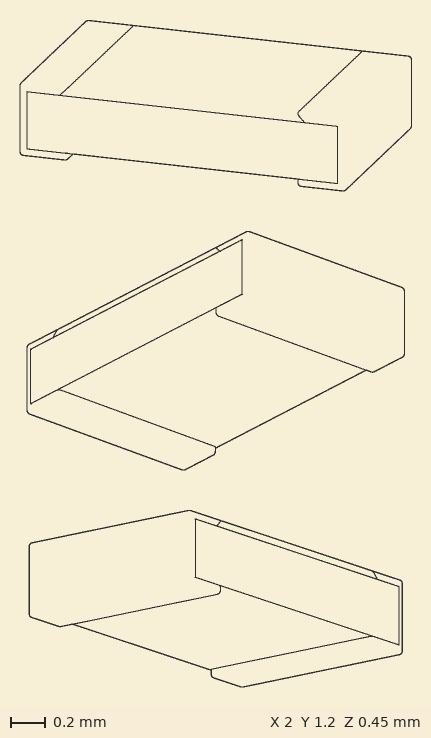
import cadquery as cq

LENGTH = 2.0
WIDTH = 1.2
HEIGHT = 0.45

PLATING = 0.05
EDGE_RADIUS = PLATING / 2
TERMINAL_LENGTH = 0.3
TIP_SLOPE = PLATING

CORE_LENGTH = LENGTH - 2 * PLATING
CORE_HEIGHT = HEIGHT - 2 * PLATING
COAT_TOP_HALF = LENGTH / 2 - TERMINAL_LENGTH
COAT_BOTTOM_HALF = COAT_TOP_HALF + TIP_SLOPE


def extrude_across(outline):
    """Extrude a closed XZ outline over the full width, centred on Y = 0."""
    return outline.extrude(WIDTH / 2, both=True)


def make_core():
    """Plain ceramic block inside the terminals and under the coat."""
    return cq.Workplane("XY").box(CORE_LENGTH, WIDTH, CORE_HEIGHT).translate((0, 0, HEIGHT / 2))


def make_coat():
    """Top coat between the terminals, with sloped ends and rounded long edges."""
    outline = (
        cq.Workplane("XZ")
        .moveTo(-COAT_BOTTOM_HALF, HEIGHT - PLATING)
        .lineTo(COAT_BOTTOM_HALF, HEIGHT - PLATING)
        .lineTo(COAT_TOP_HALF, HEIGHT)
        .lineTo(-COAT_TOP_HALF, HEIGHT)
        .close()
    )
    return extrude_across(outline).faces(">Z").edges("|X").fillet(EDGE_RADIUS)


def make_left_terminal():
    """C-shaped cap around the -X end of the core."""
    outer_x = -LENGTH / 2
    inner_x = -CORE_LENGTH / 2
    outline = (
        cq.Workplane("XZ")
        .moveTo(outer_x, 0)
        .lineTo(outer_x + TERMINAL_LENGTH, 0)
        .lineTo(outer_x + TERMINAL_LENGTH, PLATING)
        .lineTo(inner_x, PLATING)
        .lineTo(inner_x, HEIGHT - PLATING)
        .lineTo(-COAT_BOTTOM_HALF, HEIGHT - PLATING)
        .lineTo(-COAT_TOP_HALF, HEIGHT)
        .lineTo(outer_x, HEIGHT)
        .close()
    )
    cap = extrude_across(outline)
    lower_tip = cq.selectors.BoxSelector(
        (outer_x + TERMINAL_LENGTH - EDGE_RADIUS, -WIDTH, -PLATING),
        (outer_x + TERMINAL_LENGTH + EDGE_RADIUS, WIDTH, PLATING),
    )
    tip_edges = cap.edges(lower_tip).edges("|Z")
    long_edges = cap.faces("<X or <Z").edges()
    upper_edges = cap.faces(">Z").edges("|X")
    return cap.newObject(tip_edges.vals() + long_edges.vals() + upper_edges.vals()).fillet(EDGE_RADIUS)


core = make_core()
coat = make_coat()
left_terminal = make_left_terminal()
terminals = [left_terminal.rotate((0, 0, 0), (0, 0, 1), turn).val() for turn in (0, 180)]

result = cq.Compound.makeCompound([core.val(), coat.val(), *terminals])